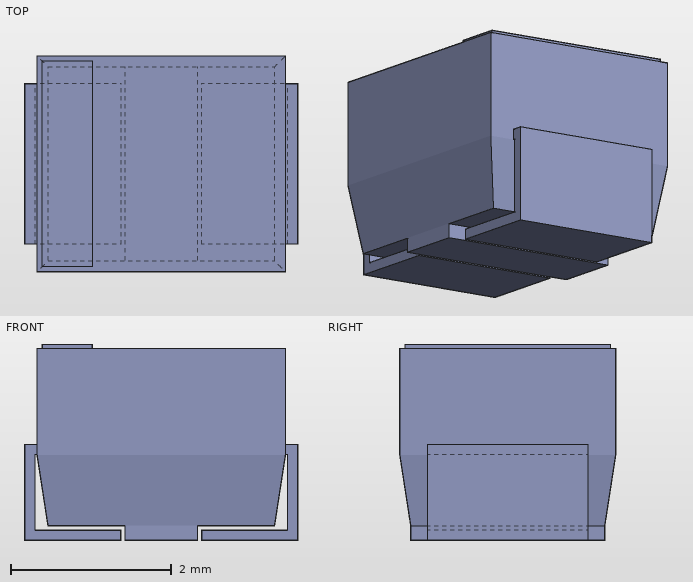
import cadquery as cq

overall_length = 3.4
overall_height = 2.44

housing_length = 3.095
housing_width = 2.69
parting_height = 1.06
taper_inset = 0.135
standoff_height = 0.18
standoff_length = 0.905

mark_thickness = 0.05
mark_length = 0.625
mark_inset = 0.065

terminal_thickness = 0.13
terminal_width = 2.0
terminal_height = 1.197
foot_length = 1.197

housing_top = overall_height - mark_thickness
base_length = housing_length - 2 * taper_inset
base_width = housing_width - 2 * taper_inset


def make_housing():
    """Molded case, with its underside raised by a central standoff."""
    upper = (
        cq.Workplane("XY", origin=(0, 0, parting_height))
        .rect(housing_length, housing_width)
        .extrude(housing_top - parting_height)
    )
    lower = (
        cq.Workplane("XY", origin=(0, 0, standoff_height))
        .rect(base_length, base_width)
        .workplane(offset=parting_height - standoff_height)
        .rect(housing_length, housing_width)
        .loft(ruled=True)
    )
    standoff = cq.Workplane("XY").rect(standoff_length, base_width).extrude(standoff_height)
    return upper.union(lower).union(standoff)


def make_mark():
    """Thin polarity bar lying on the housing near its -X edge."""
    mark_center_x = -housing_length / 2 + mark_inset + mark_length / 2
    mark_width = housing_width - 2 * mark_inset
    return (
        cq.Workplane("XY", origin=(mark_center_x, 0, housing_top))
        .rect(mark_length, mark_width)
        .extrude(mark_thickness)
    )


def make_terminal(side):
    """Bent strip on one end: side is -1 for the -X end and +1 for the +X end."""
    outer_x = side * overall_length / 2
    inner_x = side * (overall_length / 2 - terminal_thickness)
    housing_x = side * housing_length / 2
    foot_tip_x = side * (overall_length / 2 - foot_length)
    tab_underside = terminal_height - terminal_thickness
    return (
        cq.Workplane("XZ")
        .moveTo(outer_x, 0)
        .lineTo(outer_x, terminal_height)
        .lineTo(housing_x, terminal_height)
        .lineTo(housing_x, tab_underside)
        .lineTo(inner_x, tab_underside)
        .lineTo(inner_x, terminal_thickness)
        .lineTo(foot_tip_x, terminal_thickness)
        .lineTo(foot_tip_x, 0)
        .close()
        .extrude(terminal_width / 2, both=True)
    )


housing = make_housing()
mark = make_mark()
terminals = [make_terminal(side) for side in (-1, 1)]

result = cq.Compound.makeCompound(
    [housing.val(), mark.val(), *[terminal.val() for terminal in terminals]]
)